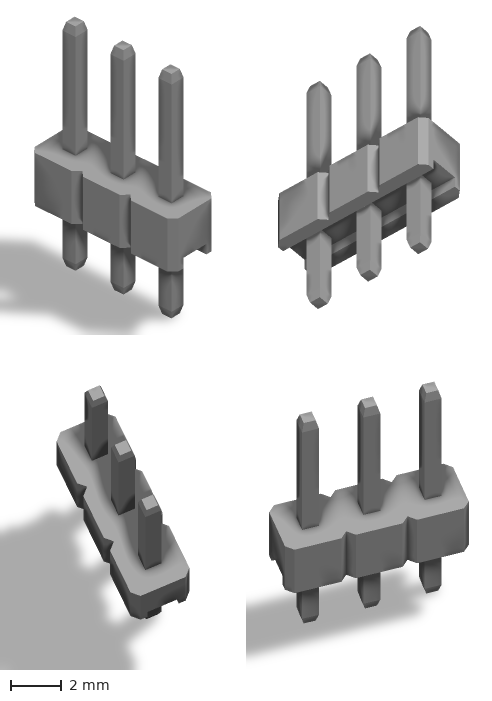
import cadquery as cq

overall_height = 11.5
unit_count = 3
pitch = 2.54
block_height = 2.5
corner_chamfer = 0.3
foot_width = 0.6
channel_depth = 0.5
pin_side = 0.7
pin_below_block = 3.01
tip_height = 0.4
tip_side = 0.5

channel_width = pitch - 2 * foot_width
shaft_length = overall_height - 2 * tip_height
pin_bottom = -pin_below_block
shaft_bottom = pin_bottom + tip_height
shaft_top = shaft_bottom + shaft_length


def make_block():
    """Square block with chamfered upright edges and a channel along X in its underside."""
    block = cq.Workplane("XY").rect(pitch, pitch).extrude(block_height)
    block = block.edges("|Z").chamfer(corner_chamfer)
    channel = cq.Workplane("XY").rect(pitch, channel_width).extrude(channel_depth)
    return block.cut(channel)


def make_tip(base_z, end_z):
    """Tapered pin end, from the shaft at base_z to the small square face at end_z."""
    return (
        cq.Workplane("XY", origin=(0, 0, base_z))
        .rect(pin_side, pin_side)
        .workplane(offset=end_z - base_z)
        .rect(tip_side, tip_side)
        .loft(ruled=True)
    )


def make_pin():
    """Square pin with a tapered tip at both ends."""
    shaft = cq.Workplane("XY", origin=(0, 0, shaft_bottom)).rect(pin_side, pin_side).extrude(shaft_length)
    lower_tip = make_tip(shaft_bottom, pin_bottom)
    upper_tip = make_tip(shaft_top, pin_bottom + overall_height)
    return shaft.union(lower_tip).union(upper_tip)


def make_header_unit(center_x):
    """One header unit: a block and its pin formed as a single solid."""
    return make_block().union(make_pin()).translate((center_x, 0, 0))


first_center_x = -pitch * (unit_count - 1) / 2
header_units = []
for index in range(unit_count):
    unit = make_header_unit(first_center_x + index * pitch)
    header_units.append(unit.solids().val())

result = cq.Compound.makeCompound(header_units)